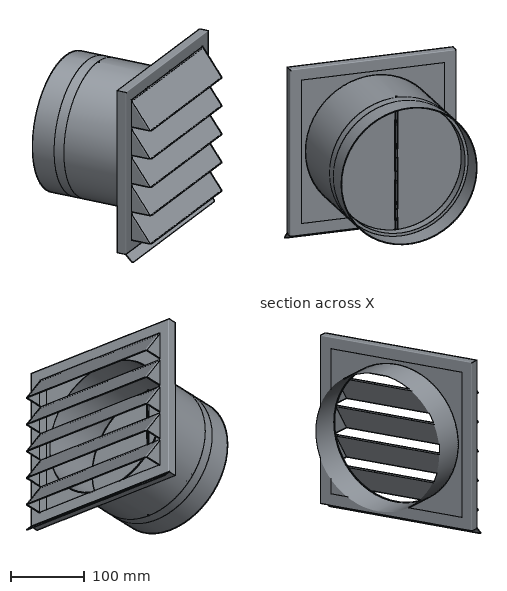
import cadquery as cq
import math

tube_length = 141.3
tube_radius = 98.5
tube_wall = 1.0
bore_radius = tube_radius - tube_wall

ring_start = 33.0
ring_length = 15.0
ring_bore_radius = 93.2

plate_side = 240.0
plate_thickness = 14.5
plate_rounding = 1.0
plate_skin = 1.0
plate_face = tube_length + plate_thickness
plate_bottom = -plate_side / 2

hood_count = 5
hood_pitch = 41.8
hood_width = 210.0
hood_depth = 30.0
hood_height = 40.3
hood_rounding = 3.0
hood_wall = 1.5
lowest_hood_rise = 15.5

plate_cavity_side = hood_width - 2 * hood_wall

lip_drop = 10.5
lip_thickness = 0.8
lip_root = 1.0
lip_corner_radius = 2.0

pin_x = 50.0
pin_radius = 1.0

flap_radius = 96.5
flap_thickness = 1.0
flap_edge_offset = 1.5
flap_edge_chamfer = 0.8
knuckle_radius = 1.8
knuckle_length = 13.0
knuckle_heights = [86.7, 16.3, -70.7]


def x_cylinder(radius, start, length):
    """Cylinder on the duct axis."""
    return cq.Workplane("YZ").workplane(offset=start).circle(radius).extrude(length)


def z_cylinder(radius, center_z, length):
    """Cylinder on the pin axis."""
    base = cq.Workplane("XY").workplane(offset=center_z - length / 2).center(pin_x, 0)
    return base.circle(radius).extrude(length)


def side_prism(points, width):
    """Prism with an XZ outline, centred on Y = 0."""
    return cq.Workplane("XZ").polyline(points).close().extrude(width / 2, both=True)


def make_plate():
    plate = cq.Workplane("YZ").workplane(offset=tube_length)
    plate = plate.rect(plate_side, plate_side).extrude(plate_thickness)
    plate = plate.faces("<X or >X").edges().fillet(plate_rounding)
    cavity = cq.Workplane("YZ").workplane(offset=tube_length + plate_skin)
    cavity = cavity.rect(plate_cavity_side, plate_cavity_side).extrude(plate_thickness)
    return plate.cut(cavity)


def hood_outline(inset):
    """Right triangle under the sloping blade, moved in by the inset measured across the blade."""
    scale = 1 - inset * math.hypot(hood_depth, hood_height) / (hood_depth * hood_height)
    return [
        (plate_face, 0),
        (plate_face + scale * hood_depth, 0),
        (plate_face, scale * hood_height),
    ]


def make_hood(bottom_z):
    hood = side_prism(hood_outline(0), hood_width)
    slope_edges = hood.faces("<Y or >Y").edges("(not |X) and (not |Z)")
    hood = slope_edges.fillet(hood_rounding)
    hood = hood.cut(side_prism(hood_outline(hood_wall), hood_width - 2 * hood_wall))
    return hood.translate((0, 0, bottom_z))


def make_lip():
    """Sloping sheet whose upper end is sunk into the front bottom edge of the plate."""
    run = lip_drop + lip_root
    length = run * math.sqrt(2)
    lip = cq.Workplane("XY").box(length, plate_side, lip_thickness, centered=(False, True, False))
    lip = lip.edges("|Z and >X").fillet(lip_corner_radius)
    lip = lip.rotate((0, 0, 0), (0, 1, 0), 45)
    return lip.translate((plate_face - 2 * lip_root, 0, plate_bottom + lip_root))


def make_housing():
    housing = x_cylinder(tube_radius, 0, tube_length).union(make_plate())
    housing = housing.cut(x_cylinder(bore_radius, 0, plate_face))
    ring = x_cylinder(bore_radius, ring_start, ring_length).cut(
        x_cylinder(ring_bore_radius, ring_start, ring_length)
    )
    housing = housing.union(ring).union(make_lip())
    for index in range(hood_count):
        housing = housing.union(make_hood(plate_bottom + lowest_hood_rise + index * hood_pitch))
    return housing.cut(make_pin())


def make_pin():
    return z_cylinder(pin_radius, 0, 2 * tube_radius)


def make_flap():
    """Flap on the -Y side of the pin, its half disc tangent to the back of the knuckles."""
    disc_front = pin_x + knuckle_radius - flap_thickness
    flap = x_cylinder(flap_radius, disc_front, flap_thickness)
    other_side = cq.Workplane("XY").box(2 * plate_face, 2 * flap_radius, 2 * flap_radius)
    flap = flap.cut(other_side.translate((0, flap_radius - flap_edge_offset, 0)))
    flap = flap.faces(">Y").edges("<X").chamfer(flap_edge_chamfer)

    bridge_width = flap_edge_offset + flap_edge_chamfer
    for height in knuckle_heights:
        bridge = cq.Workplane("XY").box(
            flap_thickness, bridge_width, knuckle_length, centered=(False, False, True)
        )
        bridge = bridge.translate((disc_front, -bridge_width, height))
        flap = flap.union(bridge).union(z_cylinder(knuckle_radius, height, knuckle_length))
    return flap.cut(make_pin())


housing = make_housing()
pin = make_pin()
right_flap = make_flap()
left_flap = right_flap.rotate((0, 0, 0), (1, 0, 0), 180)

result = cq.Compound.makeCompound([housing.val(), pin.val(), right_flap.val(), left_flap.val()])